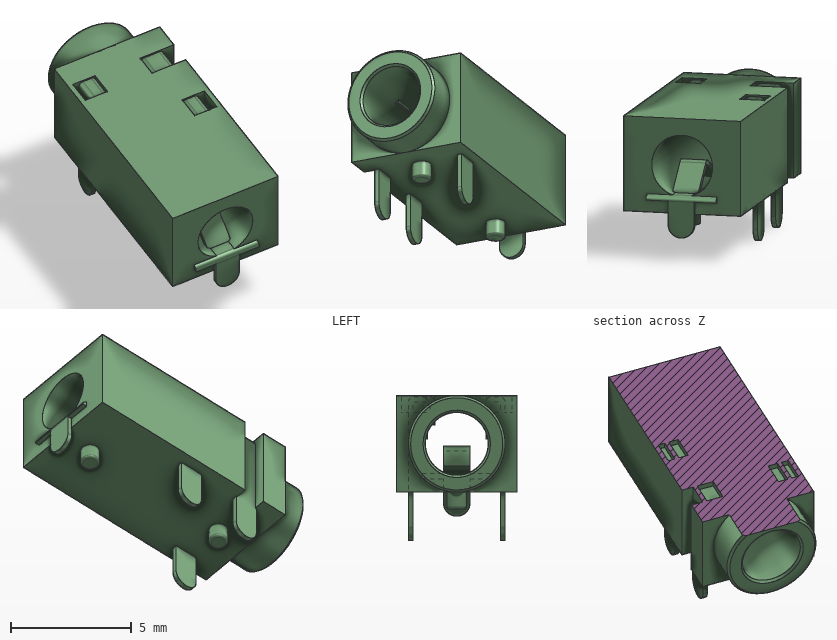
import cadquery as cq
import math


BARREL_LENGTH = 1.5
BODY_LENGTH = 10.0
BODY_WIDTH = 5.01
BODY_HEIGHT = 4.0
BORE_DIAMETER = 2.6
RIM_CHAMFER = 0.09

BODY_FRONT = BARREL_LENGTH
BODY_REAR = BODY_FRONT + BODY_LENGTH
BODY_TOP = BODY_HEIGHT / 2
BODY_BOTTOM = -BODY_HEIGHT / 2
BODY_SIDE = BODY_WIDTH / 2

PEG_DIAMETER = 0.8
PEG_LENGTH = 0.7
PEG_ROUND = 0.09
PEG_SPACING = 7.02
FIRST_PEG_X = BODY_FRONT + 1.5

METAL = 0.2
TERMINAL_WIDTH = 1.1

FRONT_CONTACT_X = BODY_FRONT + 1.7
REAR_CONTACT_X = FRONT_CONTACT_X + 3.0
LEG_INSET = 0.5
LEG_DROP = 2.0
CONTACT_TOP = BODY_TOP - 0.07
SHALLOW_REACH = 1.3
SHALLOW_TIP_DEPTH = 1.8
DEEP_REACH = 1.6
DEEP_TIP_DEPTH = 1.22

WINDOW_SIZE = 1.05
WINDOW_INSET = 0.22
WINDOW_DEPTH = 0.7
NOTCH_LENGTH = 1.0

TAIL_SHOULDER_WIDTH = 3.0
TAIL_TOP = BODY_BOTTOM + 0.77
TAIL_DROP = 1.0
TAIL_BEND_RADIUS = 0.23
PLATE_LENGTH = 0.7

BACK_LEG_SLOPE = math.radians(39.5)
RAMP_SLOPE = math.radians(26.5)
CREST_Z = -0.02
CREST_RADIUS = 0.35
RAMP_END_Z = -0.91


def block(x_range, y_range, z_range):
    """Rectangular block between pairs of limits."""
    (x0, x1), (y0, y1), (z0, z1) = (sorted(limits) for limits in (x_range, y_range, z_range))
    return cq.Workplane("XY").box(x1 - x0, y1 - y0, z1 - z0, centered=False).translate((x0, y0, z0))


def make_housing():
    """Rectangular body with a round front barrel, before boring."""
    barrel = (
        cq.Workplane("YZ")
        .circle(BODY_HEIGHT / 2)
        .extrude(BARREL_LENGTH)
        .faces("<X")
        .chamfer(RIM_CHAMFER)
    )
    body = block((BODY_FRONT, BODY_REAR), (-BODY_SIDE, BODY_SIDE), (BODY_BOTTOM, BODY_TOP))
    return body.union(barrel)


def make_bore():
    """Bore cutter running the full length, flared at the entry."""
    radius = BORE_DIAMETER / 2
    profile = [
        (0, 0),
        (0, radius + RIM_CHAMFER),
        (RIM_CHAMFER, radius),
        (BODY_REAR, radius),
        (BODY_REAR, 0),
    ]
    return cq.Workplane("XY").polyline(profile).close().revolve(360, (0, 0, 0), (1, 0, 0))


def make_window(x_center, side):
    """Square pocket cutter in the top face beside the given side wall (+1 or -1)."""
    outer = side * (BODY_SIDE - WINDOW_INSET)
    half = WINDOW_SIZE / 2
    return block(
        (x_center - half, x_center + half),
        (outer, outer - side * WINDOW_SIZE),
        (BODY_TOP - WINDOW_DEPTH, BODY_TOP),
    )


def make_notch():
    """Notch cutter: full height outside the contact leg, shallow above the contact."""
    x_range = (FRONT_CONTACT_X - NOTCH_LENGTH / 2, FRONT_CONTACT_X + NOTCH_LENGTH / 2)
    inner = BODY_SIDE - DEEP_REACH
    slot = block(x_range, (BODY_SIDE - LEG_INSET, BODY_SIDE), (BODY_BOTTOM, BODY_TOP))
    pocket = block(x_range, (inner, BODY_SIDE), (BODY_TOP - WINDOW_DEPTH, BODY_TOP))
    return slot.union(pocket)


def make_peg(x_center):
    """Round locating peg with a rounded tip edge."""
    return (
        cq.Workplane("XY", origin=(x_center, 0, BODY_BOTTOM))
        .circle(PEG_DIAMETER / 2)
        .extrude(-PEG_LENGTH)
        .faces("<Z")
        .fillet(PEG_ROUND)
    )


def make_round_ended_strip(top, bottom, length):
    """Prism along +Y from the origin, one terminal wide in X, with a full round at its lower end."""
    half = TERMINAL_WIDTH / 2
    return (
        cq.Workplane("XZ")
        .moveTo(-half, top)
        .lineTo(-half, bottom + half)
        .threePointArc((0, bottom), (half, bottom + half))
        .lineTo(half, top)
        .close()
        .extrude(-length)
    )


def make_side_contact(x_center, side, reach, tip_depth):
    """Inverted-U strip: round-ended solder leg outside, spring tip reaching into the bore."""
    outer = BODY_SIDE - LEG_INSET
    inner = BODY_SIDE - reach
    foot = BODY_BOTTOM - LEG_DROP
    tip = BODY_TOP - tip_depth
    under = CONTACT_TOP - METAL
    bent_strip = (
        cq.Workplane("YZ")
        .moveTo(outer, foot)
        .lineTo(outer, CONTACT_TOP)
        .lineTo(inner, CONTACT_TOP)
        .lineTo(inner, tip)
        .lineTo(inner + METAL, tip)
        .lineTo(inner + METAL, under)
        .lineTo(outer - METAL, under)
        .lineTo(outer - METAL, foot)
        .close()
        .extrude(TERMINAL_WIDTH / 2, both=True)
        .edges("|X and >Z")
        .fillet(METAL)
    )
    strip = bent_strip.intersect(make_round_ended_strip(BODY_TOP, foot, BODY_SIDE))
    if side < 0:
        strip = strip.mirror("XZ")
    return strip.translate((x_center, 0, 0))


def make_rear_terminal():
    """Wide plate bent down behind the body into a narrow round-ended solder tail."""
    rear_face = BODY_REAR + METAL
    plate_front = BODY_REAR - PLATE_LENGTH
    inner_radius = TAIL_BEND_RADIUS - METAL
    shoulder_z = TAIL_TOP - TAIL_BEND_RADIUS
    plate = (
        cq.Workplane("XZ")
        .moveTo(plate_front, TAIL_TOP)
        .lineTo(rear_face - TAIL_BEND_RADIUS, TAIL_TOP)
        .radiusArc((rear_face, shoulder_z), TAIL_BEND_RADIUS)
        .lineTo(BODY_REAR, shoulder_z)
        .radiusArc((BODY_REAR - inner_radius, TAIL_TOP - METAL), -inner_radius)
        .lineTo(plate_front, TAIL_TOP - METAL)
        .close()
        .extrude(TAIL_SHOULDER_WIDTH / 2, both=True)
    )

    tail = (
        make_round_ended_strip(shoulder_z, BODY_BOTTOM - TAIL_DROP, METAL)
        .rotate((0, 0, 0), (0, 0, 1), -90)
        .translate((BODY_REAR, 0, 0))
    )
    return plate.union(tail)


def make_spring():
    """Inverted-V spring strip in the bore, rooted in the plate of the rear terminal."""
    root_x = BODY_REAR - PLATE_LENGTH + METAL
    crest_x = root_x - (CREST_Z - TAIL_TOP) / math.tan(BACK_LEG_SLOPE)
    end_x = crest_x - (CREST_Z - RAMP_END_Z) / math.tan(RAMP_SLOPE)

    leg_dx = -METAL * math.sin(BACK_LEG_SLOPE)
    leg_dz = -METAL * math.cos(BACK_LEG_SLOPE)
    ramp_dx = METAL * math.sin(RAMP_SLOPE)
    ramp_dz = -METAL * math.cos(RAMP_SLOPE)
    miter = 1 + math.cos(BACK_LEG_SLOPE + RAMP_SLOPE)

    crest = (crest_x, CREST_Z)
    inner_crest = (crest_x + (leg_dx + ramp_dx) / miter, CREST_Z + (leg_dz + ramp_dz) / miter)
    outline = [
        (root_x, TAIL_TOP),
        crest,
        (end_x, RAMP_END_Z),
        (end_x + ramp_dx, RAMP_END_Z + ramp_dz),
        inner_crest,
        (root_x + leg_dx, TAIL_TOP + leg_dz),
    ]
    spring = cq.Workplane("XZ").polyline(outline).close().extrude(TERMINAL_WIDTH / 2, both=True)
    for point, radius in ((crest, CREST_RADIUS), (inner_crest, CREST_RADIUS - METAL)):
        crest_edge = cq.selectors.NearestToPointSelector((point[0], 0, point[1]))
        spring = spring.edges("|Y").edges(crest_edge).fillet(radius)
    return spring


result = make_housing().cut(make_bore())

for x_center, side in ((FRONT_CONTACT_X, -1), (REAR_CONTACT_X, 1)):
    result = result.cut(make_window(x_center, side))
    result = result.union(make_side_contact(x_center, side, SHALLOW_REACH, SHALLOW_TIP_DEPTH))

result = result.cut(make_notch())
result = result.union(make_side_contact(FRONT_CONTACT_X, 1, DEEP_REACH, DEEP_TIP_DEPTH))

for peg_x in (FIRST_PEG_X, FIRST_PEG_X + PEG_SPACING):
    result = result.union(make_peg(peg_x))

result = result.union(make_rear_terminal()).union(make_spring())